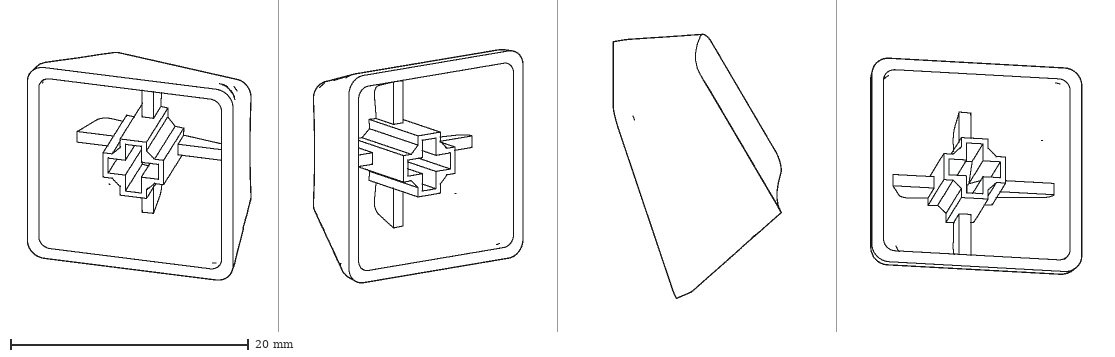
import cadquery as cq
import math


BASE_SIZE = 18.0
WALL = 1.0
OUTER_EDGE_RADIUS = 1.5
INNER_EDGE_RADIUS = 1.0
LIP_HEIGHT = 1.25
LIP_DRAFT = 5.0
INNER_LIP_HEIGHT = 1.0
INNER_LIP_DRAFT = 3.5

CROWN_SLOPE = 11.3
CROWN_HEIGHT = 8.81
CROWN_DISH_RADIUS = 25.0
CROWN_TRIM = 0.93
CROWN_LEFT = -5.2
CROWN_RIGHT = 8.44
CROWN_HALF_DEPTH = 5.87

STEM_FRONT = 1.0
STEM_SPAN = 5.3
STEM_ARM_WIDTH = 2.3
STEM_WEB = 0.7
SOCKET_SPAN = 4.4
SOCKET_ARM_WIDTH = 1.4
SOCKET_TIP = 1.1
SOCKET_ROOF_RISE = 1.7
RIB_FRONT = 5.5
RIB_THICKNESS = 1.0

CEILING_HEIGHT = CROWN_HEIGHT - WALL / math.cos(math.radians(CROWN_SLOPE))
TOLERANCE = 0.01
TOOL_LENGTH = 4 * BASE_SIZE


def tan_deg(angle):
    return math.tan(math.radians(angle))


def rectangle_wire(left, right, half_depth, axis_height, slope=0.0):
    """Rectangle seen along Y, at axis_height on the Y axis and falling towards +X."""
    corners = [
        (left, -half_depth),
        (right, -half_depth),
        (right, half_depth),
        (left, half_depth),
    ]
    points = [cq.Vector(x, axis_height - x * tan_deg(slope), z) for x, z in corners]
    return cq.Wire.makePolygon(points, close=True)


def square_wire(size, axis_height, slope=0.0):
    return rectangle_wire(-size / 2, size / 2, size / 2, axis_height, slope)


def crown_cylinder(radius):
    """Cylinder that hollows the crown; a larger radius gives a parallel, lower surface."""
    slope = math.radians(CROWN_SLOPE)
    direction = cq.Vector(math.cos(slope), -math.sin(slope), 0)
    normal = cq.Vector(math.sin(slope), math.cos(slope), 0)
    centre = cq.Vector(0, CROWN_HEIGHT, 0) + normal * CROWN_DISH_RADIUS
    start = centre - direction * (TOOL_LENGTH / 2)
    return cq.Workplane(cq.Solid.makeCylinder(radius, TOOL_LENGTH, start, direction))


def tapered_blank(inset, lip_height, lip_draft):
    """Sharp-edged cap: a drafted square lip, then walls leaning in to the sloped crown."""
    base = BASE_SIZE - 2 * inset
    lip = base - 2 * lip_height * tan_deg(lip_draft)
    crown = rectangle_wire(
        CROWN_LEFT + inset,
        CROWN_RIGHT - inset,
        CROWN_HALF_DEPTH - inset,
        CROWN_HEIGHT + CROWN_TRIM,
        CROWN_SLOPE,
    )
    sections = [square_wire(base, 0), square_wire(lip, lip_height), crown]
    return cq.Workplane(cq.Solid.makeLoft(sections, True))


def bottom(edge):
    return edge.BoundingBox().ymin


def top(edge):
    return edge.BoundingBox().ymax


def make_outer():
    """Outer body, rounded at the corners and at the bend above the lip."""
    blank = tapered_blank(0, LIP_HEIGHT, LIP_DRAFT)
    rounded = [
        edge
        for edge in blank.edges().vals()
        if top(edge) > TOLERANCE and bottom(edge) < LIP_HEIGHT + TOLERANCE
    ]
    body = blank.newObject(rounded).fillet(OUTER_EDGE_RADIUS)
    return body.cut(crown_cylinder(CROWN_DISH_RADIUS))


def make_cavity():
    """Inside of the shell, rounded at the corners and around the ceiling; its lip bend stays sharp."""
    blank = tapered_blank(WALL, INNER_LIP_HEIGHT, INNER_LIP_DRAFT)
    trimmed = blank.cut(crown_cylinder(CROWN_DISH_RADIUS + WALL))
    rounded = [
        edge
        for edge in trimmed.edges().vals()
        if top(edge) > INNER_LIP_HEIGHT + TOLERANCE or top(edge) - bottom(edge) > INNER_LIP_HEIGHT / 2
    ]
    return trimmed.newObject(rounded).fillet(INNER_EDGE_RADIUS)


def bar(size_x, size_z, front):
    """Bar centred on the Y axis, from height front up past the crown."""
    return cq.Workplane("XZ", origin=(0, front, 0)).rect(size_x, size_z).extrude(-TOOL_LENGTH)


def cross(span, arm_width, front):
    return bar(span, arm_width, front).union(bar(arm_width, span, front))


def make_stem():
    web_size = STEM_ARM_WIDTH + 2 * STEM_WEB
    web = bar(web_size, web_size, STEM_FRONT).edges("|Y").chamfer(STEM_WEB)
    return cross(STEM_SPAN, STEM_ARM_WIDTH, STEM_FRONT).union(web)


def make_socket():
    """Cross-shaped socket whose roof is a pyramid that follows the crown slope."""
    sections = [
        square_wire(SOCKET_SPAN, STEM_FRONT),
        square_wire(SOCKET_SPAN, CEILING_HEIGHT - SOCKET_ROOF_RISE, CROWN_SLOPE),
        square_wire(SOCKET_TIP, CEILING_HEIGHT, CROWN_SLOPE),
    ]
    envelope = cq.Workplane(cq.Solid.makeLoft(sections, True))
    return cross(SOCKET_SPAN, SOCKET_ARM_WIDTH, STEM_FRONT).intersect(envelope)


ribs = cross(BASE_SIZE, RIB_THICKNESS, RIB_FRONT)
hollow = make_cavity().cut(make_stem()).cut(ribs)
result = make_outer().cut(hollow).cut(make_socket())